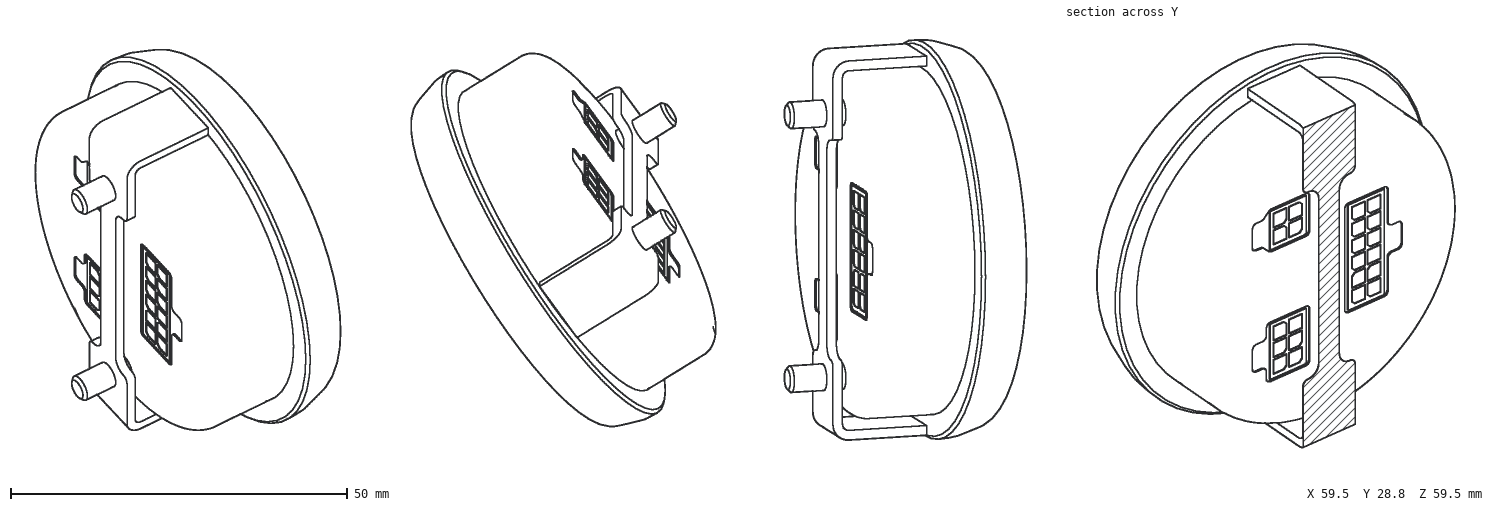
import cadquery as cq
import math


bezel_radius = 29.75
bezel_depth = 7.95
bezel_back_chamfer = 0.5
knee_radius = 29.6
knee_y = 2.55
knee_fillet = 2.6
bezel_taper = 17.5
bezel_front_fillet = 2.75

housing_radius = 52.05 / 2
lip_depth = 12.2
lip_fillet = 2.15
face_rise = 0.2
face_slope_width = 0.95
face_y = -(lip_depth + face_rise)

scallop_count = 3
scallop_centre_radius = 26.7
scallop_floor_radius = 3.75

bracket_x = -0.5
bracket_width = 10.0
bracket_height = 57.45
bracket_front_y = -0.8
bracket_back_y = -15.35
strip_thickness = 1.5
inner_bend_radius = 1.0
outer_bend_radius = inner_bend_radius + strip_thickness
waist_width = 4.0
waist_length = 33.3
waist_shoulder_radius = 2.0 / 2
waist_depth = (bracket_width - waist_width) / 2
waist_neck_radius = waist_depth - waist_shoulder_radius

stud_radius = 4.0 / 2
stud_offset = 20.0
stud_end_y = -20.9
stud_chamfer = 0.5

recess_depth = 0.25
recess_width = 8.25
recess_margin = 0.35
recess_corner_radius = 0.8
tab_length = 2.7
tab_height = 4.9
plug_width = 6.85
plug_margin = 0.7
socket_columns = 2
socket_pitch = 3.0
socket_size = 2.5
socket_depth = 0.1
socket_key_chamfer = 0.55

connectors = [
    ((7.85, 0.5), 1, False, ("DD", "DD", "DD", "D-", "UU", "DD")),
    ((-7.1, 11.5), -1, True, ("DU", "UD")),
    ((-7.1, -10.1), -1, False, ("U-", "DD", "DD")),
]


def rear_plane(y):
    """Plane facing -Y: its x runs along X, its y along Z, and extrusions go toward -Y."""
    return cq.Workplane("XZ", origin=(0, y, 0))


def revolve_about_y(profile):
    return profile.close().revolve(360, (0, 0, 0), (0, 1, 0))


def make_bezel():
    front_radius = knee_radius - (bezel_depth - knee_y) * math.tan(math.radians(bezel_taper))
    profile = cq.Workplane("XY").polyline(
        [
            (0, 0),
            (bezel_radius - bezel_back_chamfer, 0),
            (bezel_radius, bezel_back_chamfer),
            (knee_radius, knee_y),
            (front_radius, bezel_depth),
            (0, bezel_depth),
        ]
    )
    bezel = revolve_about_y(profile)
    knee = cq.selectors.NearestToPointSelector((knee_radius, knee_y, 0))
    bezel = bezel.edges("%CIRCLE").edges(knee).fillet(knee_fillet)
    return bezel.faces(">Y").edges().fillet(bezel_front_fillet)


def make_housing():
    slope_outer_radius = housing_radius - lip_fillet
    profile = (
        cq.Workplane("XY")
        .lineTo(housing_radius, 0)
        .lineTo(housing_radius, lip_fillet - lip_depth)
        .radiusArc((slope_outer_radius, -lip_depth), lip_fillet)
        .lineTo(slope_outer_radius - face_slope_width, face_y)
        .lineTo(0, face_y)
    )
    housing = revolve_about_y(profile)
    for index in range(scallop_count):
        angle = 2 * math.pi * index / scallop_count
        centre = cq.Vector(math.cos(angle), 0, math.sin(angle)) * scallop_centre_radius
        scallop = cq.Solid.makeCone(
            scallop_floor_radius,
            scallop_floor_radius + face_slope_width,
            face_rise,
            pnt=centre - cq.Vector(0, lip_depth, 0),
            dir=cq.Vector(0, -1, 0),
        )
        housing = housing.cut(cq.Workplane(scallop))
    return housing


def bent_block(back_y, height, bend_radius):
    """Block behind the bezel whose two rear edges are rounded."""
    depth = bracket_front_y - back_y
    return (
        rear_plane(bracket_front_y)
        .center(bracket_x, 0)
        .rect(bracket_width, height)
        .extrude(depth)
        .edges("<Y and |X")
        .fillet(bend_radius)
    )


def make_bracket():
    outside = bent_block(bracket_back_y, bracket_height, outer_bend_radius)
    inside = bent_block(
        bracket_back_y + strip_thickness, bracket_height - 2 * strip_thickness, inner_bend_radius
    )
    bracket = outside.cut(inside)
    neck_x = waist_width / 2
    tangent_x = neck_x + waist_neck_radius
    edge_x = bracket_width / 2
    neck_z = waist_length / 2 - waist_neck_radius
    tangent_z = waist_length / 2
    edge_z = tangent_z + waist_shoulder_radius
    side_cut = (
        rear_plane(bracket_front_y)
        .center(bracket_x, 0)
        .moveTo(neck_x, -neck_z)
        .lineTo(neck_x, neck_z)
        .radiusArc((tangent_x, tangent_z), waist_neck_radius)
        .radiusArc((edge_x, edge_z), -waist_shoulder_radius)
        .lineTo(edge_x, -edge_z)
        .radiusArc((tangent_x, -tangent_z), -waist_shoulder_radius)
        .radiusArc((neck_x, -neck_z), waist_neck_radius)
        .close()
        .extrude(bracket_front_y - bracket_back_y)
    )
    opposite_cut = side_cut.mirror("YZ", (bracket_x, 0, 0))
    return bracket.cut(side_cut).cut(opposite_cut)


def make_studs():
    return (
        rear_plane(-lip_depth)
        .pushPoints([(bracket_x, -stud_offset), (bracket_x, stud_offset)])
        .circle(stud_radius)
        .extrude(-lip_depth - stud_end_y)
        .faces("<Y")
        .chamfer(stud_chamfer)
    )


def make_recess(centre, tab_side, slanted, recess_height):
    back_x = -tab_side * recess_width / 2
    shoulder_x = tab_side * recess_width / 2
    tab_x = shoulder_x + tab_side * tab_length
    half_height = recess_height / 2
    half_tab = tab_height / 2
    slant = (half_height - half_tab) / 2 if slanted else 0
    outline = [
        (back_x, half_height),
        (shoulder_x - tab_side * slant, half_height),
        (shoulder_x + tab_side * slant, half_tab),
        (tab_x, half_tab),
    ]
    mirrored = [(x, -z) for x, z in reversed(outline)]
    return (
        rear_plane(face_y + recess_depth)
        .center(*centre)
        .polyline(outline + mirrored)
        .close()
        .extrude(recess_depth)
        .edges("|Y")
        .fillet(recess_corner_radius)
    )


def make_socket(centre, key_side, key):
    """Square socket with one corner cut off, on the given side, unless its key is plain."""
    socket_plane = rear_plane(face_y + socket_depth).center(*centre)
    socket = socket_plane.rect(socket_size, socket_size).extrude(socket_depth)
    if key == "-":
        return socket
    x_end = ">X" if key_side > 0 else "<X"
    z_end = ">Z" if key == "U" else "<Z"
    return socket.edges("|Y").edges(x_end).edges(z_end).chamfer(socket_key_chamfer)


def add_connector(body, centre, tab_side, slanted, socket_keys):
    socket_rows = len(socket_keys)
    plug_height = (socket_rows - 1) * socket_pitch + socket_size + 2 * plug_margin
    body = body.cut(make_recess(centre, tab_side, slanted, plug_height + 2 * recess_margin))
    plug_plane = rear_plane(face_y + recess_depth).center(*centre)
    plug = plug_plane.rect(plug_width, plug_height).extrude(recess_depth)
    for row, keys in enumerate(socket_keys):
        z = centre[1] + ((socket_rows - 1) / 2 - row) * socket_pitch
        for column, key in enumerate(keys):
            x = centre[0] + (column - (socket_columns - 1) / 2) * socket_pitch
            plug = plug.cut(make_socket((x, z), -tab_side, key))
    return body.union(plug)


result = make_bezel().union(make_housing())
for connector in connectors:
    result = add_connector(result, *connector)
result = result.union(make_studs()).union(make_bracket())